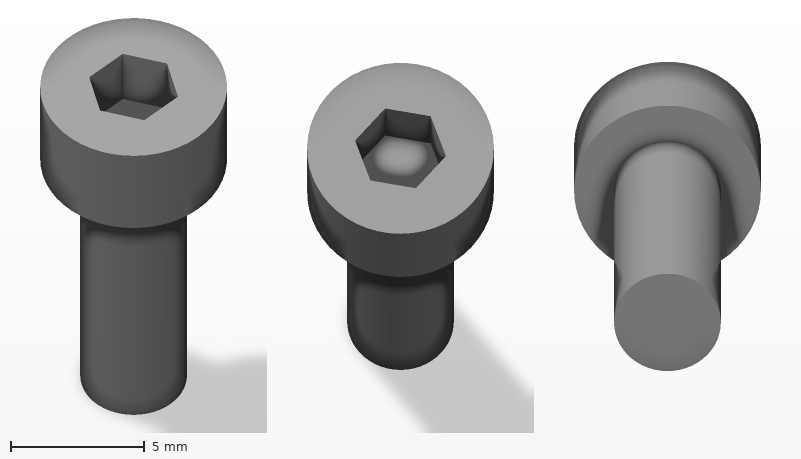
import cadquery as cq
import math

shank_diameter = 4.0
shank_length = 12.0
head_diameter = 7.0
head_height = shank_diameter

socket_sides = 6
socket_across_flats = 3.0
socket_depth = 2.5
socket_across_corners = socket_across_flats / math.cos(math.pi / socket_sides)
socket_turn = 90.0


def make_shank():
    return cq.Workplane("XY").circle(shank_diameter / 2).extrude(-shank_length)


def make_head():
    return cq.Workplane("XY").circle(head_diameter / 2).extrude(head_height)


def make_socket():
    return (
        cq.Workplane("XY", origin=(0, 0, head_height))
        .transformed(rotate=(0, 0, socket_turn))
        .polygon(socket_sides, socket_across_corners)
        .extrude(-socket_depth)
    )


result = make_head().union(make_shank()).cut(make_socket())